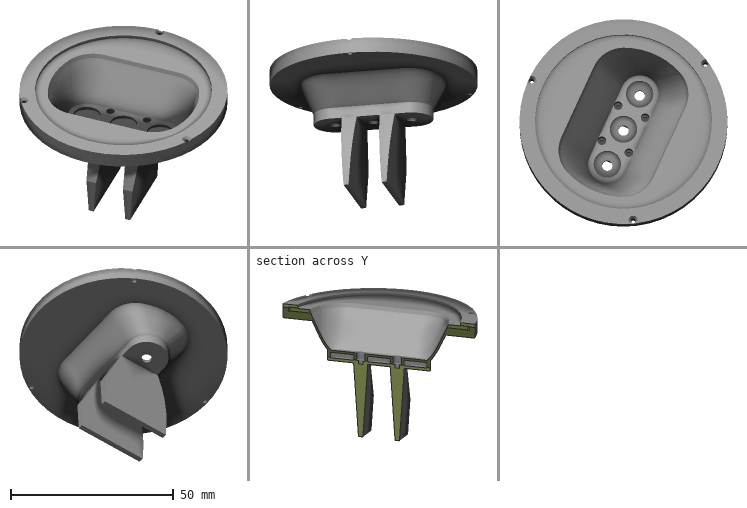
import cadquery as cq
import math

outer_diameter = 64.1
overall_height = 40.2
ring_thickness = 1.2
disc_rise = 0.2
disc_thickness = 1.2
disc_top_z = disc_rise - ring_thickness
funnel_top_z = disc_top_z - disc_thickness
flange_thickness = 2.4
flange_bottom_z = funnel_top_z - flange_thickness
funnel_height = 11.0
floor_z = funnel_top_z - funnel_height
base_height = 2.45
cap_top_z = floor_z - base_height
cap_thickness = 1.0
cap_bottom_z = cap_top_z - cap_thickness

ring_bore_diameter = 54.5
disc_diameter = 59.5
disc_recess_diameter = 60.1
rim_screw_count = 3
rim_screw_circle_radius = 31.0
rim_first_angle = 90.0
screw_hole_diameter = 1.4
countersink_diameter = 2.8
countersink_depth = 0.85

contact_pitch = 12.05
floor_end_radius = 5.9
wall_thickness = 0.85
mouth_half_width = 15.0
mouth_end_radius = 22.8
mouth_flare = 0.5

contact_count = 3
contact_hole_diameter = 3.2
contact_window_diameter = 8.4
contact_pocket_diameter = 11.8
basin_floor_thickness = 0.85
blade_screw_clearance = 2.6
blade_screw_offset = 4.55

blade_count = 2
blade_top_thickness = 4.8
blade_tip_thickness = 1.6
blade_top_half_width = 7.0
blade_front_reach = 12.05
blade_back_reach = 11.15
blade_slope_height = 12.05
blade_curve_height = 19.1
tip_z = -overall_height


def slot_prism(end_radius, bottom_z, height):
    """Round-ended bar along X whose end centres lie on the outer contact holes."""
    slot = cq.Workplane("XY", origin=(0, 0, bottom_z)).slot2D(2 * (contact_pitch + end_radius), 2 * end_radius)
    return slot.extrude(height)


def rounded_outline(plane, half_width, corner_radius, end_radius, end_center_x, split_angle):
    """Outline of two straight sides, four corner arcs and two end arcs, all tangent.

    The corner arcs are centred at X = contact_pitch and run from the straight side
    down to split_angle, where the end arc takes over.
    """
    corner_center_y = half_width - corner_radius
    middle_angle = (split_angle + math.pi / 2) / 2

    def corner_point(angle):
        x = contact_pitch + corner_radius * math.cos(angle)
        y = corner_center_y + corner_radius * math.sin(angle)
        return x, y

    side_x, side_y = corner_point(math.pi / 2)
    middle_x, middle_y = corner_point(middle_angle)
    split_x, split_y = corner_point(split_angle)
    end_x = end_center_x + end_radius
    return (
        plane.moveTo(-side_x, side_y)
        .lineTo(side_x, side_y)
        .threePointArc((middle_x, middle_y), (split_x, split_y))
        .threePointArc((end_x, 0), (split_x, -split_y))
        .threePointArc((middle_x, -middle_y), (side_x, -side_y))
        .lineTo(-side_x, -side_y)
        .threePointArc((-middle_x, -middle_y), (-split_x, -split_y))
        .threePointArc((-end_x, 0), (-split_x, split_y))
        .threePointArc((-middle_x, middle_y), (-side_x, side_y))
        .close()
    )


mouth_corner_radius = (mouth_end_radius**2 - contact_pitch**2 - mouth_half_width**2) / (
    2 * (mouth_end_radius - mouth_half_width)
)
mouth_split_angle = math.atan2(mouth_half_width - mouth_corner_radius, contact_pitch)


def mouth_outline(plane, offset):
    return rounded_outline(
        plane,
        mouth_half_width + offset,
        mouth_corner_radius + offset,
        mouth_end_radius + offset,
        0,
        mouth_split_angle,
    )


def floor_outline(plane, offset):
    end_radius = floor_end_radius + offset
    return rounded_outline(plane, end_radius, end_radius, end_radius, contact_pitch, mouth_split_angle)


def funnel(offset):
    """Loft from the basin floor to the mouth, grown outward by offset."""
    floor_section = floor_outline(cq.Workplane("XY", origin=(0, 0, floor_z)), offset)
    return mouth_outline(floor_section.workplane(offset=funnel_height), offset).loft(ruled=True)


def cylinder(diameter, bottom_z, height):
    return cq.Workplane("XY", origin=(0, 0, bottom_z)).circle(diameter / 2).extrude(height)


def rim_screw_points(workplane):
    return workplane.polarArray(rim_screw_circle_radius, rim_first_angle, 360, rim_screw_count)


def make_trim_ring():
    ring = cylinder(outer_diameter, -ring_thickness, ring_thickness)
    ring = ring.cut(cylinder(ring_bore_diameter, -ring_thickness, ring_thickness))
    ring = ring.cut(cylinder(disc_recess_diameter, -ring_thickness, disc_rise))
    hole = cylinder(screw_hole_diameter, -ring_thickness, ring_thickness)
    countersink = (
        cq.Workplane("XY", origin=(0, 0, -countersink_depth))
        .circle(screw_hole_diameter / 2)
        .workplane(offset=countersink_depth)
        .circle(countersink_diameter / 2)
        .loft()
    )
    cutter = hole.union(countersink).val()
    return ring.cut(rim_screw_points(cq.Workplane("XY")).eachpoint(lambda place: cutter.moved(place)))


def make_disc():
    """Cover disc whose basin opening widens toward the top."""
    disc = cylinder(disc_diameter, funnel_top_z, disc_thickness)
    lower = mouth_outline(cq.Workplane("XY", origin=(0, 0, funnel_top_z)), 0)
    opening = mouth_outline(lower.workplane(offset=disc_thickness), mouth_flare).loft(ruled=True)
    return disc.cut(opening)


def contact_points(z):
    return cq.Workplane("XY", origin=(0, 0, z)).rarray(contact_pitch, 0.65, contact_count, 1)


def blade_screw_points(z):
    return cq.Workplane("XY", origin=(0, 0, z)).rarray(contact_pitch, 2 * blade_screw_offset, blade_count, 2)


def make_housing():
    flange = cylinder(outer_diameter, flange_bottom_z, -ring_thickness - flange_bottom_z)
    flange = flange.cut(cylinder(disc_recess_diameter, funnel_top_z, disc_thickness))
    rim_holes = rim_screw_points(cq.Workplane("XY", origin=(0, 0, flange_bottom_z)))
    flange = flange.cut(rim_holes.circle(screw_hole_diameter / 2).extrude(-flange_bottom_z))

    base = slot_prism(floor_end_radius + wall_thickness, cap_top_z, base_height)
    housing = flange.union(base).union(funnel(wall_thickness)).cut(funnel(0))

    windows = contact_points(cap_top_z).circle(contact_window_diameter / 2).extrude(base_height)
    pocket_height = base_height - basin_floor_thickness
    pockets = contact_points(cap_top_z).circle(contact_pocket_diameter / 2).extrude(pocket_height)
    screw_holes = blade_screw_points(cap_top_z).circle(blade_screw_clearance / 2).extrude(base_height)
    return housing.cut(windows).cut(pockets).cut(screw_holes)


def blade(center_x):
    """Wedge that thins toward its tip, with a sloping front edge and a curved back edge."""
    wedge = (
        cq.Workplane("XZ", origin=(center_x, 0, 0))
        .moveTo(-blade_top_thickness / 2, cap_bottom_z)
        .lineTo(blade_top_thickness / 2, cap_bottom_z)
        .lineTo(blade_tip_thickness / 2, tip_z)
        .lineTo(-blade_tip_thickness / 2, tip_z)
        .close()
        .extrude(outer_diameter / 2, both=True)
    )
    side_profile = (
        cq.Workplane("YZ", origin=(center_x, 0, 0))
        .moveTo(-blade_top_half_width, cap_bottom_z)
        .lineTo(-blade_front_reach, cap_bottom_z - blade_slope_height)
        .lineTo(-blade_front_reach, tip_z)
        .lineTo(blade_back_reach, tip_z)
        .lineTo(blade_back_reach, cap_bottom_z - blade_curve_height)
        .tangentArcPoint((blade_top_half_width, cap_bottom_z), relative=False)
        .close()
        .extrude(blade_top_thickness, both=True)
    )
    return wedge.intersect(side_profile)


def make_bladed_cap():
    """Cap that closes the base from below, with the blades standing on its underside."""
    cap = slot_prism(floor_end_radius + wall_thickness, cap_bottom_z, cap_thickness)
    cap = cap.cut(contact_points(cap_bottom_z).circle(contact_hole_diameter / 2).extrude(cap_thickness))
    cap = cap.cut(blade_screw_points(cap_bottom_z).circle(screw_hole_diameter / 2).extrude(cap_thickness))
    for index in range(blade_count):
        cap = cap.union(blade((index - (blade_count - 1) / 2) * contact_pitch))
    return cap


trim_ring = make_trim_ring()
disc = make_disc()
housing = make_housing()
bladed_cap = make_bladed_cap()

result = cq.Compound.makeCompound([trim_ring.val(), disc.val(), housing.val(), bladed_cap.val()])